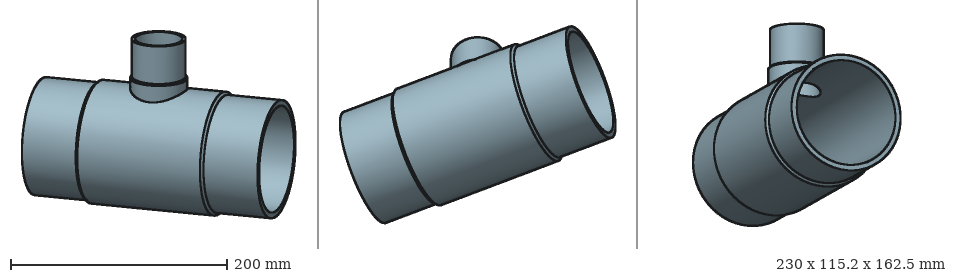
import cadquery as cq

pipe_length = 230.0
pipe_diameter = 110.0
pipe_bore = 99.4

sleeve_length = 125.0
sleeve_diameter = 115.2
sleeve_chamfer = (sleeve_diameter - pipe_diameter) / 2

branch_diameter = 50.0
branch_bore = 44.0
branch_top = 162.5 - sleeve_diameter / 2
branch_exposed_length = 36.0
collar_diameter = 53.0
collar_top = branch_top - branch_exposed_length
collar_chamfer = (collar_diameter - branch_diameter) / 2


def cylinder_along_x(diameter, length):
    """Cylinder on the X axis, centred on the origin."""
    start = cq.Workplane("YZ", origin=(-length / 2, 0, 0))
    return start.circle(diameter / 2).extrude(length)


def cylinder_up(diameter, height):
    """Cylinder rising along Z from the origin."""
    return cq.Workplane("XY").circle(diameter / 2).extrude(height)


pipe = cylinder_along_x(pipe_diameter, pipe_length)
sleeve = cylinder_along_x(sleeve_diameter, sleeve_length).edges().chamfer(sleeve_chamfer)

branch = cylinder_up(branch_diameter, branch_top)
collar = cylinder_up(collar_diameter, collar_top).faces(">Z").edges().chamfer(collar_chamfer)

result = (
    pipe.union(sleeve)
    .union(collar)
    .union(branch)
    .cut(cylinder_along_x(pipe_bore, pipe_length))
    .cut(cylinder_up(branch_bore, branch_top))
)